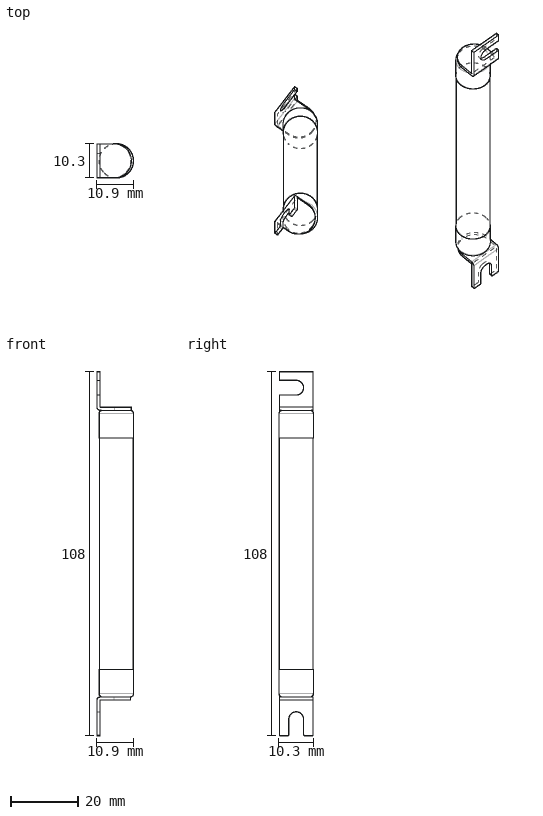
import cadquery as cq

cap_diameter = 10.3
cap_radius = cap_diameter / 2
cap_step = 0.09
barrel_radius = cap_radius - cap_step
cap_length = 8.2
cap_edge_radius = 1.0
body_top = 42.5
body_bottom = -42.4
barrel_top = body_top - cap_length
barrel_bottom = body_bottom + cap_length

sheet = 1.0
bracket_width = 10.0
half_width = bracket_width / 2
overall_depth = 10.9
leg_face_x = cap_radius - overall_depth
half_height = 54.0
slot_width = 4.3
slot_radius = slot_width / 2
top_slot_z = 49.2
bottom_slot_z = -49.0
top_foot_length = 10.3
bottom_foot_length = 10.0
leg_corner_radius = 0.4
bend_radius = 0.98 * sheet


def make_barrel():
    """Plain round barrel between the two caps."""
    return (
        cq.Workplane("XY", origin=(0, 0, barrel_bottom))
        .circle(barrel_radius)
        .extrude(barrel_top - barrel_bottom)
    )


def make_cap(inner_z, outward):
    """Solid cap from inner_z, going up for outward = 1 and down for outward = -1."""
    outer_edge = ">Z" if outward > 0 else "<Z"
    return (
        cq.Workplane("XY", origin=(0, 0, inner_z))
        .circle(cap_radius)
        .extrude(outward * cap_length)
        .edges(outer_edge)
        .fillet(cap_edge_radius)
    )


def make_bent_sheet(face_z, foot_length, outward):
    """D-shaped foot against the cap face at face_z, bent into a flat leg along Z."""
    arc_center_x = leg_face_x + foot_length - half_width
    foot = (
        cq.Workplane("XY", origin=(0, 0, face_z))
        .moveTo(leg_face_x, -half_width)
        .lineTo(arc_center_x, -half_width)
        .threePointArc((arc_center_x + half_width, 0), (arc_center_x, half_width))
        .lineTo(leg_face_x, half_width)
        .close()
        .extrude(outward * sheet)
    )
    leg = (
        cq.Workplane("XY", origin=(leg_face_x + sheet / 2, 0, face_z))
        .rect(sheet, bracket_width)
        .extrude(outward * half_height - face_z)
    )
    bend_edge = cq.selectors.NearestToPointSelector((leg_face_x, 0, face_z))
    return foot.union(leg).edges(bend_edge).fillet(bend_radius)


def make_slot(center_z, angle):
    """Cutter for an open-ended slot, turned by angle about X from the -Y direction."""
    reach = 2 * bracket_width
    round_end = cq.Workplane("YZ", origin=(leg_face_x, 0, 0)).circle(slot_radius).extrude(sheet)
    channel = (
        cq.Workplane("YZ", origin=(leg_face_x, -reach / 2, 0))
        .rect(reach, slot_width)
        .extrude(sheet)
    )
    return (
        round_end.union(channel)
        .rotate((0, 0, 0), (1, 0, 0), angle)
        .translate((0, 0, center_z))
    )


def make_top_bracket():
    """Bracket whose slot opens sideways, toward -Y."""
    sheet_part = make_bent_sheet(body_top, top_foot_length, 1)
    return sheet_part.cut(make_slot(top_slot_z, 0))


def make_bottom_bracket():
    """Bracket whose slot opens downward, leaving two prongs with rounded corners."""
    sheet_part = make_bent_sheet(body_bottom, bottom_foot_length, -1)
    fork = sheet_part.cut(make_slot(bottom_slot_z, 90))
    prong_corners = cq.selectors.BoxSelector(
        (leg_face_x - sheet, -bracket_width, -half_height - sheet / 2),
        (leg_face_x + 2 * sheet, bracket_width, -half_height + sheet / 2),
    )
    return fork.edges(prong_corners).edges("|X").fillet(leg_corner_radius)


barrel = make_barrel()
caps = [make_cap(barrel_top, 1), make_cap(barrel_bottom, -1)]
top_bracket = make_top_bracket()
bottom_bracket = make_bottom_bracket()

result = cq.Compound.makeCompound(
    [barrel.val(), *[cap.val() for cap in caps], top_bracket.val(), bottom_bracket.val()]
)